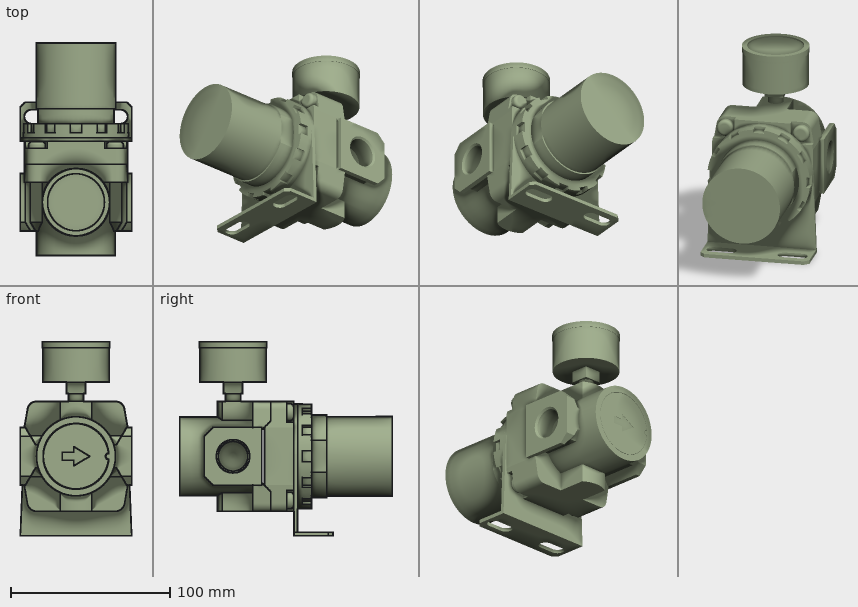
import cadquery as cq
import math


casing_half_height = 34.5
casing_half_width = 32.5
casing_side_half_height = 18.1
casing_side_draft = 10
casing_corner_radius = 5.75

housing_front_y = -33.5
casing_front_y = 12.5
slot_floor_y = 18.1
tongue_front_y = 19.6
joint_y = 23.7
bonnet_back_y = 38.2

barrel_diameter = 49.6
plug_diameter = 40.9
plug_clearance = 0.25
plug_groove_depth = 1.0
plug_key_radius = 2.0
arrow_tail_x = -8.7
arrow_neck_x = -1.4
arrow_tip_x = 8.7
arrow_shaft_half_height = 2.45
arrow_head_half_height = 6.0
arrow_depth = 0.2

pad_half_span = 35.0
pad_half_size = 18.1
pad_rim_x = 31.8
pad_chamfer = 5.5
pad_neck_half_height = 12.75
pad_rim_slope = 1.68
port_diameter = 18.63
port_mouth_diameter = 21.0
port_depth = 14.0
drill_point_angle = 118

boss_half_width = 9.9
boss_corner_y = -6.8
boss_front_y = -9.85

stem_diameter = 52.0
stem_flat_half_width = 24.0
stem_end_y = 58.7
knob_diameter = 50.0
knob_end_y = 100.0
screw_x = 24.4
screw_z = 27.7
screw_head_diameter = 10.5
screw_head_height = 4.2
screw_head_fillet = 2.0
pocket_depth = 4.4
pocket_margin = 6.45

bracket_thickness = 2.35
bracket_round_radius = 33.0
bracket_base_z = -50.0
bracket_half_width = 35.0
foot_end_y = 62.8
foot_corner_chamfer = 3.0
slot_width = 8.6
slot_outer_x = 28.1
slot_inner_x = 17.6
slot_y = 53.7

nut_diameter = 66.0
nut_end_y = 49.4
notch_count = 12
notch_width = 7.0
notch_depth_y = 5.9
notch_floor_diameter = 61.4

gauge_stem_diameter = 9.73
gauge_square = 12.0
gauge_square_z = 39.3
gauge_case_z = 46.6
gauge_rim_z = 68.2
gauge_top_z = 72.0
gauge_case_diameter = 42.0
gauge_rim_diameter = 42.5
gauge_dial_diameter = 35.8
gauge_dial_depth = 1.0


def section_at(y):
    """Sketch plane facing +Y at the given station; local x is -X and local y is Z."""
    return cq.Workplane("XZ", origin=(0, y, 0)).transformed(rotate=(0, 180, 0))


def cylinder_y(diameter, y_start, y_end):
    return section_at(y_start).circle(diameter / 2).extrude(y_end - y_start)


def centred_box(half_x, y_start, y_end, half_z):
    """Box centred on the control axis between two stations."""
    return section_at(y_start).rect(2 * half_x, 2 * half_z).extrude(y_end - y_start)


def casing_prism(y_start, y_end):
    """Square casing with drafted sides above and below a vertical band and rounded corners."""
    draft_height = casing_half_height - casing_side_half_height
    top_half_width = casing_half_width - draft_height * math.tan(math.radians(casing_side_draft))
    quarter = [(casing_half_width, casing_side_half_height), (top_half_width, casing_half_height)]
    right = [(x, -z) for x, z in reversed(quarter)] + quarter
    left = [(-x, -z) for x, z in right]
    prism = section_at(y_start).polyline(right + left).close().extrude(y_end - y_start)
    drafted_corners = prism.edges("|Y").edges(">Z or <Z")
    return drafted_corners.fillet(casing_corner_radius)


def joint_channel(floor_y):
    """Channel across X with 45-degree flanks that widen from the casing's vertical band to the joint."""
    flank = joint_y - tongue_front_y
    floor_half = casing_side_half_height - (tongue_front_y - floor_y)
    joint_half = casing_side_half_height + flank
    points = [(floor_y, floor_half), (joint_y, joint_half), (bonnet_back_y, joint_half)]
    mirrored = [(y, -z) for y, z in reversed(points)]
    return cq.Workplane("YZ").polyline(points + mirrored).close().extrude(pad_half_span, both=True)


def chamfered_pad(half_height, x_start, x_end):
    """Slab across the port, chamfered along its two front edges."""
    back, front = slot_floor_y, -pad_half_size
    inset = half_height - pad_chamfer
    points = [(back, half_height), (front + pad_chamfer, half_height), (front, inset)]
    mirrored = [(y, -z) for y, z in reversed(points)]
    slab = cq.Workplane("YZ", origin=(x_start, 0, 0)).polyline(points + mirrored).close()
    return slab.extrude(x_end - x_start)


def port_pad():
    """Pad on the +X side: a wide rim that slopes inward to a lower neck."""
    neck = chamfered_pad(pad_neck_half_height, 0, pad_half_span)
    rim_root_half_height = pad_neck_half_height - pad_chamfer
    rim_root_x = pad_rim_x - (pad_half_size - rim_root_half_height) / pad_rim_slope
    rim = chamfered_pad(pad_half_size, rim_root_x, pad_half_span)
    upper = [(pad_half_span, pad_half_size), (pad_rim_x, pad_half_size), (rim_root_x, rim_root_half_height)]
    lower = [(x, -z) for x, z in reversed(upper)]
    rim_limit = cq.Workplane("XZ").polyline(upper + lower).close().extrude(pad_half_size, both=True)
    return neck.union(rim.intersect(rim_limit))


def port_bore():
    """Blind bore on the +X side with a chamfered mouth and a drill-point bottom."""
    radius = port_diameter / 2
    mouth_radius = port_mouth_diameter / 2
    bottom_x = pad_half_span - port_depth
    point_x = bottom_x - radius / math.tan(math.radians(drill_point_angle / 2))
    mouth_x = pad_half_span - (mouth_radius - radius)
    profile = [
        (point_x, 0),
        (bottom_x, radius),
        (mouth_x, radius),
        (pad_half_span, mouth_radius),
        (pad_half_span, 0),
    ]
    return cq.Workplane("XY").polyline(profile).close().revolve(360, (0, 0, 0), (1, 0, 0))


def gauge_bosses():
    """Boss through the barrel, top to bottom, with a bowed front face."""
    outline = (
        cq.Workplane("XY", origin=(0, 0, -casing_half_height))
        .moveTo(-boss_half_width, casing_front_y)
        .lineTo(-boss_half_width, boss_corner_y)
        .threePointArc((0, boss_front_y), (boss_half_width, boss_corner_y))
        .lineTo(boss_half_width, casing_front_y)
        .close()
    )
    return outline.extrude(2 * casing_half_height)


def keyed_disc(radius, key_radius):
    """Disc at the housing end face with a round key seat on its +X edge."""
    disc_end_y = housing_front_y + plug_groove_depth
    disc = cylinder_y(2 * radius, housing_front_y, disc_end_y)
    key = cylinder_y(2 * key_radius, housing_front_y, disc_end_y)
    return disc.cut(key.translate((plug_diameter / 2, 0, 0)))


def plug_groove():
    """Narrow groove that outlines the end plug."""
    plug_radius = plug_diameter / 2
    outer = keyed_disc(plug_radius + plug_clearance, plug_key_radius - plug_clearance)
    return outer.cut(keyed_disc(plug_radius, plug_key_radius))


def flow_arrow():
    """Shallow arrow recess in the end face, pointing to +X."""
    upper = [
        (arrow_tail_x, arrow_shaft_half_height),
        (arrow_neck_x, arrow_shaft_half_height),
        (arrow_neck_x, arrow_head_half_height),
    ]
    lower = [(x, -z) for x, z in reversed(upper)]
    outline = upper + [(arrow_tip_x, 0)] + lower
    arrow = cq.Workplane("XZ", origin=(0, housing_front_y, 0)).polyline(outline).close()
    return arrow.extrude(-arrow_depth)


def make_housing():
    housing = casing_prism(casing_front_y, joint_y).cut(joint_channel(slot_floor_y))
    housing = housing.union(cylinder_y(barrel_diameter, housing_front_y, slot_floor_y))
    housing = housing.union(gauge_bosses())
    for side_angle in (0, 180):
        pad = port_pad().rotate((0, 0, 0), (0, 1, 0), side_angle)
        bore = port_bore().rotate((0, 0, 0), (0, 1, 0), side_angle)
        housing = housing.union(pad).cut(bore)
    return housing.cut(plug_groove()).cut(flow_arrow())


def make_bonnet():
    """Bonnet block with its tongue, threaded stem, knob and the four screw heads."""
    casing = casing_prism(tongue_front_y, bonnet_back_y)
    lip = casing_prism(joint_y, bonnet_back_y)
    bonnet = lip.union(casing.intersect(joint_channel(tongue_front_y)))
    pocket_floor_y = bonnet_back_y - pocket_depth
    pocket_size = 2 * casing_half_height
    head = cylinder_y(screw_head_diameter, pocket_floor_y, pocket_floor_y + screw_head_height)
    head = head.faces(">Y").edges().fillet(screw_head_fillet)
    for side_x in (-1, 1):
        for side_z in (-1, 1):
            pocket = cq.Workplane("XY").box(pocket_size, pocket_depth, pocket_size)
            pocket_x = side_x * (screw_x - pocket_margin + pocket_size / 2)
            pocket_z = side_z * (screw_z - pocket_margin + pocket_size / 2)
            bonnet = bonnet.cut(pocket.translate((pocket_x, bonnet_back_y - pocket_depth / 2, pocket_z)))
            bonnet = bonnet.union(head.translate((side_x * screw_x, 0, side_z * screw_z)))
    flats = centred_box(stem_flat_half_width, bonnet_back_y, stem_end_y, stem_diameter / 2)
    stem = cylinder_y(stem_diameter, bonnet_back_y, stem_end_y).intersect(flats)
    return bonnet.union(stem).union(cylinder_y(knob_diameter, stem_end_y, knob_end_y))


def make_bracket():
    """Angle bracket: an upright plate with a round top tangent to its sides, and a slotted foot."""
    radius = bracket_round_radius
    corner_distance = math.hypot(bracket_half_width, bracket_base_z)
    tangent_angle = math.atan2(bracket_base_z, bracket_half_width) + math.acos(radius / corner_distance)
    tangent_x = radius * math.cos(tangent_angle)
    tangent_z = radius * math.sin(tangent_angle)
    plate_back_y = bonnet_back_y + bracket_thickness
    plate = (
        section_at(bonnet_back_y)
        .moveTo(-bracket_half_width, bracket_base_z)
        .lineTo(-tangent_x, tangent_z)
        .threePointArc((0, radius), (tangent_x, tangent_z))
        .lineTo(bracket_half_width, bracket_base_z)
        .close()
        .extrude(bracket_thickness)
    )
    foot_length = foot_end_y - bonnet_back_y
    foot = (
        cq.Workplane("XY", origin=(0, bonnet_back_y + foot_length / 2, bracket_base_z))
        .rect(2 * bracket_half_width, foot_length)
        .extrude(bracket_thickness)
        .edges("|Z and >Y")
        .chamfer(foot_corner_chamfer)
    )
    slot_centre_x = (slot_outer_x + slot_inner_x) / 2
    slot_length = slot_outer_x - slot_inner_x + slot_width
    slots = (
        cq.Workplane("XY", origin=(0, slot_y, bracket_base_z))
        .pushPoints([(-slot_centre_x, 0), (slot_centre_x, 0)])
        .slot2D(slot_length, slot_width)
        .extrude(bracket_thickness)
    )
    stem_hole = cylinder_y(stem_diameter, bonnet_back_y, plate_back_y)
    return plate.union(foot.cut(slots)).cut(stem_hole)


def make_lock_nut():
    """Round nut with open notches around its back edge."""
    start_y = bonnet_back_y + bracket_thickness
    notch_start_y = nut_end_y - notch_depth_y
    nut = cylinder_y(nut_diameter, start_y, nut_end_y)
    nut = nut.cut(cylinder_y(stem_diameter, start_y, nut_end_y))
    notch = (
        section_at(notch_start_y)
        .center(0, nut_diameter / 2)
        .rect(notch_width, nut_diameter / 2)
        .extrude(notch_depth_y)
        .cut(cylinder_y(notch_floor_diameter, notch_start_y, nut_end_y))
    )
    for index in range(notch_count):
        nut = nut.cut(notch.rotate((0, 0, 0), (0, 1, 0), index * 360 / notch_count))
    return nut


def make_gauge():
    """Pressure gauge standing on the upper boss."""

    def disc(diameter, z_start, z_end):
        return cq.Workplane("XY", origin=(0, 0, z_start)).circle(diameter / 2).extrude(z_end - z_start)

    square = cq.Workplane("XY", origin=(0, 0, gauge_square_z)).rect(gauge_square, gauge_square)
    gauge = disc(gauge_stem_diameter, casing_half_height, gauge_square_z)
    gauge = gauge.union(square.extrude(gauge_case_z - gauge_square_z))
    gauge = gauge.union(disc(gauge_case_diameter, gauge_case_z, gauge_rim_z))
    gauge = gauge.union(disc(gauge_rim_diameter, gauge_rim_z, gauge_top_z))
    return gauge.cut(disc(gauge_dial_diameter, gauge_top_z - gauge_dial_depth, gauge_top_z))


housing = make_housing().solids()
bonnet = make_bonnet().solids()
bracket = make_bracket().solids()
lock_nut = make_lock_nut().solids()
gauge = make_gauge().solids()

result = cq.Compound.makeCompound(
    [housing.val(), bonnet.val(), bracket.val(), lock_nut.val(), gauge.val()]
)